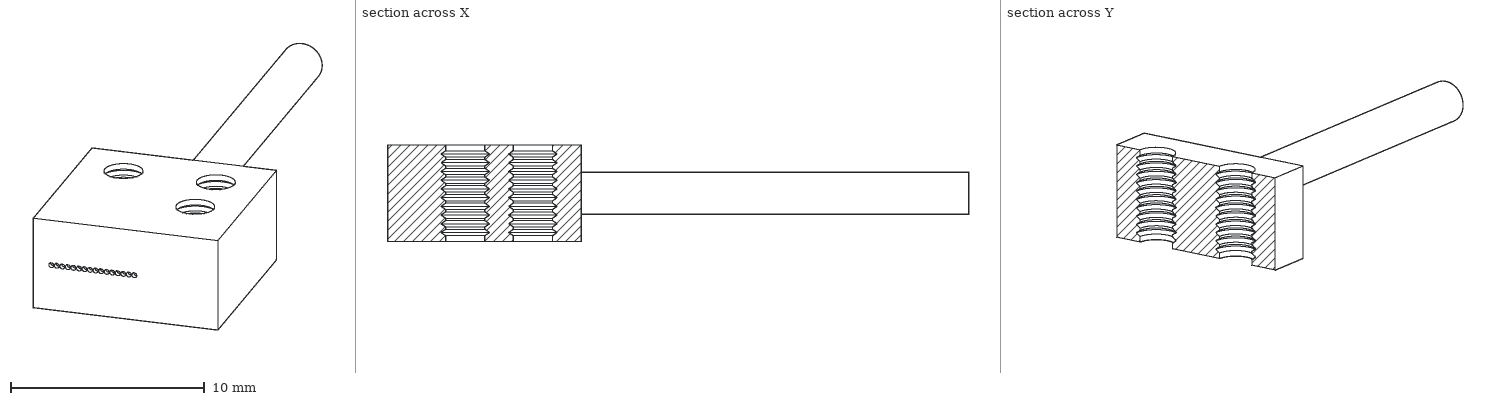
import cadquery as cq

TOTAL_LENGTH = 30.0
HOUSING_SIDE = TOTAL_LENGTH / 3
HOUSING_HEIGHT = HOUSING_SIDE / 2
FRONT_Y = -HOUSING_SIDE / 2
BACK_Y = HOUSING_SIDE / 2

CABLE_DIAMETER = 2.2
CABLE_LENGTH = TOTAL_LENGTH - HOUSING_SIDE

THREAD_MINOR_DIAMETER = 2.0
THREAD_MAJOR_DIAMETER = 2.5
THREAD_PITCH = 0.45
THREAD_CREST_WIDTH = 0.12
GROOVE_WIDTH = THREAD_PITCH - THREAD_CREST_WIDTH
GROOVE_COUNT = 10
GROOVED_LENGTH = GROOVE_COUNT * THREAD_PITCH - THREAD_CREST_WIDTH
MOUNT_X = HOUSING_SIDE / 4
REAR_MOUNT_Y = HOUSING_SIDE / 4
FRONT_MOUNT_Y = -1.0
MOUNT_POSITIONS = [
    (-MOUNT_X, REAR_MOUNT_Y),
    (MOUNT_X, REAR_MOUNT_Y),
    (MOUNT_X, FRONT_MOUNT_Y),
]

SENSOR_COUNT = 16
SENSOR_DIAMETER = 0.265
SENSOR_PITCH = 0.3
SENSOR_DEPTH = 0.3
FIRST_SENSOR_X = -4.02


def make_threaded_hole_cutter():
    """Core cylinder about Z whose wall carries the thread ridges."""
    minor_radius = THREAD_MINOR_DIAMETER / 2
    major_radius = THREAD_MAJOR_DIAMETER / 2
    bottom_z = -HOUSING_HEIGHT / 2
    profile = cq.Workplane("XZ").moveTo(0, bottom_z).lineTo(minor_radius, bottom_z)
    for i in range(GROOVE_COUNT):
        groove_start_z = -GROOVED_LENGTH / 2 + i * THREAD_PITCH
        profile = profile.lineTo(minor_radius, groove_start_z)
        profile = profile.lineTo(major_radius, groove_start_z + GROOVE_WIDTH / 2)
        profile = profile.lineTo(minor_radius, groove_start_z + GROOVE_WIDTH)
    profile = profile.lineTo(minor_radius, HOUSING_HEIGHT / 2)
    profile = profile.lineTo(0, HOUSING_HEIGHT / 2).close()
    return profile.revolve(360, (0, 0, 0), (0, 1, 0))


def make_sensor_cutters():
    """Row of short cylinders running back from the front face."""
    centres = [(FIRST_SENSOR_X + i * SENSOR_PITCH, 0) for i in range(SENSOR_COUNT)]
    front_plane = cq.Workplane("XZ", origin=(0, FRONT_Y, 0))
    return front_plane.pushPoints(centres).circle(SENSOR_DIAMETER / 2).extrude(-SENSOR_DEPTH)


def make_housing():
    housing = cq.Workplane("XY").box(HOUSING_SIDE, HOUSING_SIDE, HOUSING_HEIGHT)
    threaded_hole = make_threaded_hole_cutter()
    for x, y in MOUNT_POSITIONS:
        housing = housing.cut(threaded_hole.translate((x, y, 0)))
    return housing.cut(make_sensor_cutters())


def make_cable():
    """Round cable butting against the back face of the housing."""
    back_plane = cq.Workplane("XZ", origin=(0, BACK_Y, 0))
    return back_plane.circle(CABLE_DIAMETER / 2).extrude(-CABLE_LENGTH)


housing = make_housing()
cable = make_cable()
result = cq.Compound.makeCompound([housing.val(), cable.val()])